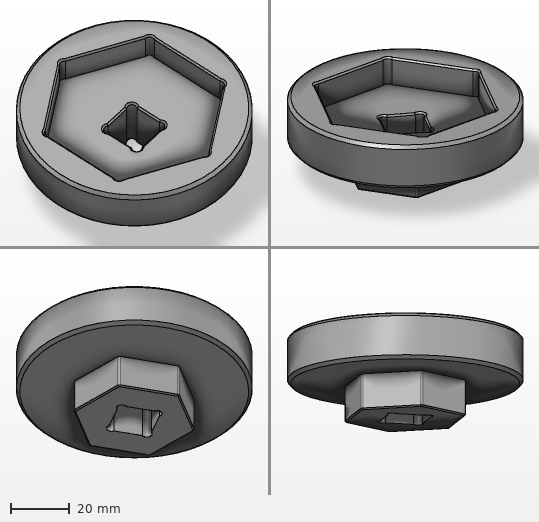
import cadquery as cq
import math

body_diameter = 80.1
body_height = 16.0
body_chamfer = 1.2

boss_height = 12.3
boss_across_flats = 36.85
boss_corner_radius = 1.0
boss_chamfer = 0.5

socket_across_flats = 56.4
socket_depth = 10.0
drive_side = 14.9
relief_radius = 1.8
mouth_chamfer = 0.65

HEX_SIDES = 6
SQUARE_SIDES = 4
socket_floor_z = body_height - socket_depth


def corner_radius(across_flats, sides):
    """Distance from the centre of a regular polygon to its corners."""
    return across_flats / 2 / math.cos(math.pi / sides)


def hex_prism(across_flats, height, base_z):
    """Upright hexagonal prism with two corners on the X axis."""
    diameter = 2 * corner_radius(across_flats, HEX_SIDES)
    return cq.Workplane("XY").workplane(offset=base_z).polygon(HEX_SIDES, diameter).extrude(height)


def corner_reliefs(across_flats, sides, first_angle, height, base_z):
    """Round reliefs that pass through the corners of a regular polygon."""
    centre_radius = corner_radius(across_flats, sides) - relief_radius
    return (
        cq.Workplane("XY")
        .workplane(offset=base_z)
        .polarArray(centre_radius, first_angle, 360, sides)
        .circle(relief_radius)
        .extrude(height)
    )


def make_body():
    return (
        cq.Workplane("XY")
        .circle(body_diameter / 2)
        .extrude(body_height)
        .faces("<Z or >Z")
        .edges()
        .chamfer(body_chamfer)
    )


def make_boss():
    boss = hex_prism(boss_across_flats, boss_height, -boss_height)
    boss = boss.edges("|Z").fillet(boss_corner_radius)
    return boss.faces("<Z").edges().chamfer(boss_chamfer)


def make_socket():
    socket = hex_prism(socket_across_flats, socket_depth, socket_floor_z)
    return socket.union(corner_reliefs(socket_across_flats, HEX_SIDES, 0, socket_depth, socket_floor_z))


def make_drive_hole():
    height = socket_floor_z + boss_height
    hole = cq.Workplane("XY").workplane(offset=-boss_height).rect(drive_side, drive_side).extrude(height)
    first_corner_angle = 45
    return hole.union(
        corner_reliefs(drive_side, SQUARE_SIDES, first_corner_angle, height, -boss_height)
    )


def chamfer_mouth(part, face_z):
    """Chamfer the inner rim of the upward face at the given height."""
    face = next(f for f in part.faces("+Z").vals() if math.isclose(f.Center().z, face_z, abs_tol=0.001))
    rim_edges = [edge for wire in face.innerWires() for edge in wire.Edges()]
    return part.newObject(rim_edges).chamfer(mouth_chamfer)


result = make_body().union(make_boss())
result = result.cut(make_socket()).cut(make_drive_hole())
for mouth_z in (body_height, socket_floor_z):
    result = chamfer_mouth(result, mouth_z)